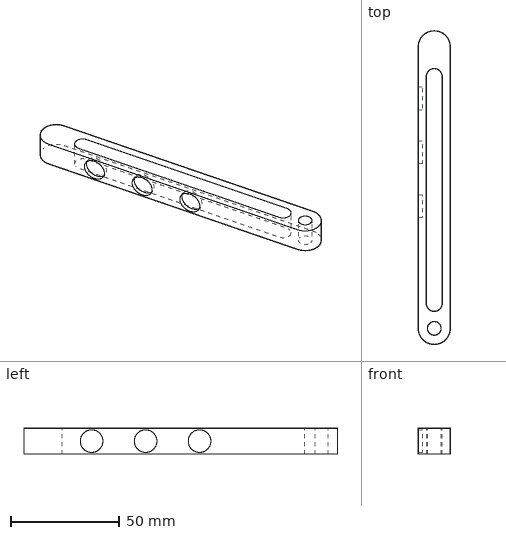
import cadquery as cq

length = 145.0
width = 15.0
height = 12.0
end_radius = width / 2

pivot_diameter = 6.2
pivot_y = -length / 2 + end_radius

slot_width = 7.2
slot_start_y = -57.1
slot_end_y = 55.0
slot_length = slot_end_y - slot_start_y
slot_center_y = (slot_start_y + slot_end_y) / 2

pocket_diameter = 10.5
pocket_depth = 2.0
pocket_pitch = 25.0
first_pocket_y = -8.7
pocket_count = 3

bar = cq.Workplane("XY").slot2D(length, width, 90).extrude(height)

pivot_hole = cq.Workplane("XY").center(0, pivot_y).circle(pivot_diameter / 2).extrude(height)

slot = (
    cq.Workplane("XY")
    .center(0, slot_center_y)
    .slot2D(slot_length, slot_width, 90)
    .extrude(height)
)

result = bar.cut(pivot_hole).cut(slot)

for index in range(pocket_count):
    pocket_y = first_pocket_y + index * pocket_pitch
    pocket = (
        cq.Workplane("YZ", origin=(-width / 2, pocket_y, height / 2))
        .circle(pocket_diameter / 2)
        .extrude(pocket_depth)
    )
    result = result.cut(pocket)